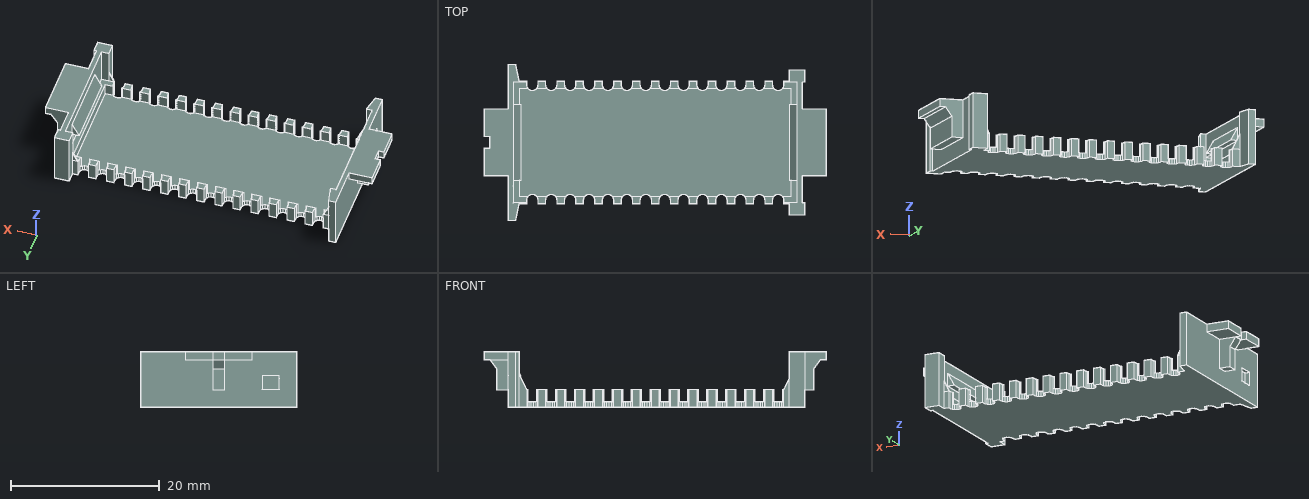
import cadquery as cq
import math

LENGTH = 46.0
WIDTH = 21.0
HEIGHT = 7.48

FLOOR_THICKNESS = 0.75
RIM_HEIGHT = 2.4
TRAY_HALF_WIDTH = 8.25
FLOOR_HALF_WIDTH = 7.25
FLOOR_HALF_LENGTH = 18.25

PITCH = 2.54
GAP_COUNT = 14
GAP_WIDTH = 1.5
GAP_BOTTOM_Y = 7.0
GAP_FACETS = 7

WALL_INNER_X = 19.05
WALL_THICKNESS = 0.7
WALL_OUTER_X = WALL_INNER_X + WALL_THICKNESS
RECESS_HALF_WIDTH = 8.1

LEFT_TIP_X = 18.75
LEFT_ROOT_X = 18.25
RIGHT_COLUMN_INNER_X = 18.0
RIGHT_COLUMN_OUTER_X = 20.1
RIGHT_COLUMN_HALF_WIDTH = 9.75

GUSSET_SLOPE = 2.0
GUSSET_TOE_X = (GAP_COUNT - 1) / 2 * PITCH + GAP_WIDTH / 2

HANDLE_WIDTH = 9.0
HANDLE_THICKNESS = 1.1
RIB_WIDTH = 1.55
RIB_OUTER_X = 21.3
RIB_BOTTOM_Z = 2.3
RIB_SLOPE_BOTTOM_Z = 5.15
RIB_SLOPE_TOP_X = 22.2
NOTCH_DEPTH = 0.75

SNAP_WIDTH = 10.2
SNAP_DEPTH = 1.0
SNAP_BOTTOM_Z = 4.2
SNAP_TOP_Z = 6.0

WINDOW_CENTER_Y = -7.0
WINDOW_WIDTH = 2.25
WINDOW_HEIGHT = 1.85


def box(x_range, y_range, z_range):
    """Box between the given limits along each axis."""
    corner = (x_range[0], y_range[0], z_range[0])
    size = (x_range[1] - x_range[0], y_range[1] - y_range[0], z_range[1] - z_range[0])
    return cq.Workplane("XY").box(*size, centered=False).translate(corner)


def side_profile(points, y_min, y_max):
    """Solid with an outline in X and Z, running from y_min to y_max."""
    profile = cq.Workplane("XZ", origin=(0, y_max, 0)).polyline(points).close()
    return profile.extrude(y_max - y_min)


def plan_profile(points):
    """Full-height solid with an outline in X and Y."""
    return cq.Workplane("XY").polyline(points).close().extrude(HEIGHT)


def both_sides(solid):
    """The solid together with its mirror image across the XZ plane."""
    return solid.union(solid.mirror("XZ"))


def right_to_left(solid):
    """Mirror image across the YZ plane."""
    return solid.mirror("YZ")


def gap(center_x):
    """Gap between two posts: open at the tray edge, faceted half-round inside."""
    radius = GAP_WIDTH / 2
    center_y = GAP_BOTTOM_Y + radius * math.cos(math.pi / GAP_FACETS / 2)
    points = [(center_x + radius, TRAY_HALF_WIDTH), (center_x - radius, TRAY_HALF_WIDTH)]
    for corner in range(GAP_FACETS + 1):
        angle = math.pi + corner * math.pi / GAP_FACETS
        points.append((center_x + radius * math.cos(angle), center_y + radius * math.sin(angle)))
    return plan_profile(points)


def tray():
    """Floor and rim, with the rim cut into posts along both long sides."""
    body = cq.Workplane("XY").rect(2 * WALL_INNER_X, 2 * TRAY_HALF_WIDTH).extrude(RIM_HEIGHT)
    cavity = (
        cq.Workplane("XY", origin=(0, 0, FLOOR_THICKNESS))
        .rect(2 * FLOOR_HALF_LENGTH, 2 * FLOOR_HALF_WIDTH)
        .extrude(RIM_HEIGHT)
    )
    body = body.cut(cavity)

    for index in range(GAP_COUNT):
        gap_x = (index - (GAP_COUNT - 1) / 2) * PITCH
        body = body.cut(both_sides(gap(gap_x)))
    return body


def handle_and_rib(rib_width):
    """Handle plate and the rib below it, on the right-hand wall."""
    plate_bottom = HEIGHT - HANDLE_THICKNESS
    half_width = HANDLE_WIDTH / 2
    plate = box((WALL_INNER_X, LENGTH / 2), (-half_width, half_width), (plate_bottom, HEIGHT))
    rib_outline = [
        (WALL_INNER_X, RIB_BOTTOM_Z),
        (RIB_OUTER_X, RIB_BOTTOM_Z),
        (RIB_OUTER_X, RIB_SLOPE_BOTTOM_Z),
        (RIB_SLOPE_TOP_X, plate_bottom),
        (WALL_INNER_X, plate_bottom),
    ]
    return plate.union(side_profile(rib_outline, -rib_width / 2, rib_width / 2))


def snap():
    """Wedge on the inner face of the right-hand wall, sloping down and inwards."""
    outline = [
        (WALL_INNER_X, SNAP_BOTTOM_Z),
        (WALL_INNER_X - SNAP_DEPTH, SNAP_BOTTOM_Z),
        (WALL_INNER_X, SNAP_TOP_Z),
    ]
    return side_profile(outline, -SNAP_WIDTH / 2, SNAP_WIDTH / 2)


def gussets():
    """Pair of gussets rising from the right-hand rim ends and running into the columns."""
    gusset_top = RIM_HEIGHT + GUSSET_SLOPE * (WALL_INNER_X - GUSSET_TOE_X)
    outline = [
        (GUSSET_TOE_X, RIM_HEIGHT),
        (WALL_INNER_X, RIM_HEIGHT),
        (WALL_INNER_X, gusset_top),
    ]
    return both_sides(side_profile(outline, RECESS_HALF_WIDTH, TRAY_HALF_WIDTH))


def wall(half_width):
    """Plain end-wall plate on the right-hand side."""
    return box((WALL_INNER_X, WALL_OUTER_X), (-half_width, half_width), (0, HEIGHT))


def right_end():
    """Right wall with block columns and a rib as wide as the handle."""
    column = box(
        (RIGHT_COLUMN_INNER_X, RIGHT_COLUMN_OUTER_X),
        (RECESS_HALF_WIDTH, RIGHT_COLUMN_HALF_WIDTH),
        (0, HEIGHT),
    )
    end = wall(RIGHT_COLUMN_HALF_WIDTH).union(both_sides(column))
    end = end.union(gussets())
    return end.union(handle_and_rib(HANDLE_WIDTH)).union(snap())


def left_end():
    """Left wall with tapered columns, a narrow rib, a notched handle and a window.

    It is modelled on the right-hand side and mirrored into place.
    """
    column = plan_profile([
        (WALL_OUTER_X, RECESS_HALF_WIDTH),
        (LEFT_ROOT_X, RECESS_HALF_WIDTH),
        (LEFT_TIP_X, WIDTH / 2),
        (WALL_OUTER_X, WIDTH / 2),
    ])
    end = wall(WIDTH / 2).union(both_sides(column))
    end = end.union(gussets())
    end = end.union(handle_and_rib(RIB_WIDTH)).union(snap())

    notch = box(
        (LENGTH / 2 - NOTCH_DEPTH, LENGTH / 2),
        (-RIB_WIDTH / 2, RIB_WIDTH / 2),
        (0, HEIGHT),
    )
    window = box(
        (WALL_INNER_X, WALL_OUTER_X),
        (WINDOW_CENTER_Y - WINDOW_WIDTH / 2, WINDOW_CENTER_Y + WINDOW_WIDTH / 2),
        (RIM_HEIGHT, RIM_HEIGHT + WINDOW_HEIGHT),
    )
    return right_to_left(end.cut(notch).cut(window))


result = tray().union(right_end()).union(left_end())